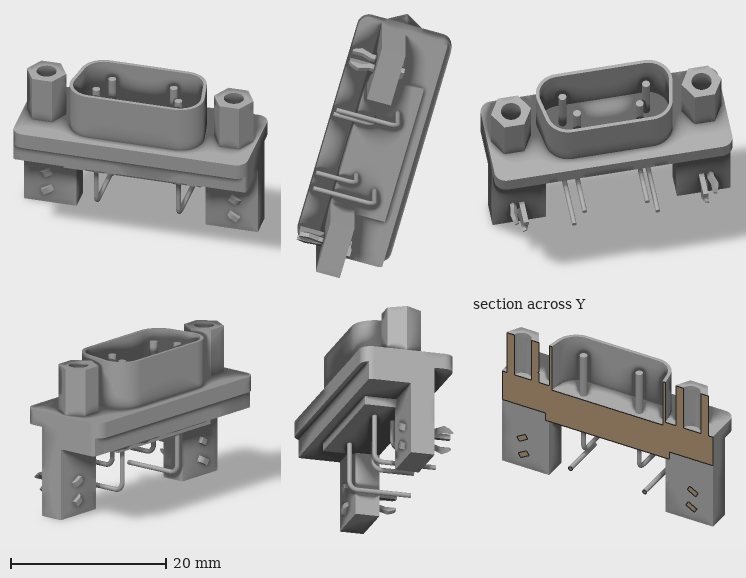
import cadquery as cq
import math


FLANGE_LENGTH = 31.2
FLANGE_WIDTH = 12.5
FLANGE_THICKNESS = 2.07
FLANGE_RADIUS = 1.5
BODY_FRONT_Y = -5.41
BODY_DEPTH = 4.5

LEG_WIDTH = 7.0
LEG_FRONT_Y = 0.23
LEG_REAR_Y = 3.43
LEG_MIDDLE_Y = (LEG_FRONT_Y + LEG_REAR_Y) / 2
LEG_DEPTH = 14.0

BLOCK_LENGTH = 18.38
BLOCK_FRONT_Y = -4.0
BLOCK_DEPTH = 5.63

CONTACT_CENTER_Y = -0.14
SHELL_HEIGHT = 6.2
SHELL_WALL = 0.45
SHELL_INNER_HEIGHT_Y = 8.36
SHELL_INNER_RADIUS = 2.65
SHELL_CORNER_X = 5.81
SHELL_SIDE_ANGLE = 10.0
CAVITY_DEPTH = 0.55

STANDOFF_X = 12.5
STANDOFF_FLATS = 4.56
STANDOFF_BORE = 2.6

CONTACT_DIAMETER = 1.0
CONTACT_TIP_Z = 5.53
CONTACT_PITCH = 2.74
ROW_SPACING = 2.84
TAIL_DIAMETER = 0.62
TAIL_BEND_RADIUS = 1.1
TAIL_END_Y = 6.65
TAIL_ROW_PITCH = 2.54
FRONT_TAIL_Z = -11.9
REAR_TAIL_Z = FRONT_TAIL_Z + TAIL_ROW_PITCH
CONTACTS = [
    (2.0 * CONTACT_PITCH, CONTACT_CENTER_Y - ROW_SPACING / 2, FRONT_TAIL_Z),
    (1.5 * CONTACT_PITCH, CONTACT_CENTER_Y + ROW_SPACING / 2, REAR_TAIL_Z),
]

CLIP_AXIS_Z = -10.7
CLIP_TILT = 30.0
CLIP_OFFSET_X = 0.115
CLIP_OFFSET_Z = -1.23
CLIP_LENGTH = 1.55
CLIP_WIDTH = 0.8
CLIP_BEND_RADIUS = 0.8
CLIP_FRONT_Y = -0.35
CLIP_STRIP_THICKNESS = 0.55
PRONG_ROOT_Y = 4.05
PRONG_STRAIGHT_Y = 5.2
BARB_Y = 5.48
BARB_SHOULDER_Y = 6.24
PRONG_ROOT_TOP = 0.64
PRONG_TIP_TOP = 0.18
PRONG_NECK_BOTTOM = -0.13
BARB_BOTTOM = -0.70
BARB_SHOULDER_BOTTOM = -0.38
BARB_TIP_BOTTOM = -0.05

PEG_SIZE = 0.66
PEG_X = 11.79
PEG_BOTTOM_Z = -10.34


def block(x0, x1, y0, y1, z0, z1):
    """Axis-aligned box between opposite corners."""
    return cq.Workplane("XY").box(x1 - x0, y1 - y0, z1 - z0, centered=False).translate((x0, y0, z0))


def rounded_plate(thickness):
    """Flange outline extruded down from Z = 0."""
    plate = cq.Workplane("XY").rect(FLANGE_LENGTH, FLANGE_WIDTH).extrude(-thickness)
    return plate.edges("|Z").fillet(FLANGE_RADIUS)


def d_prism(corner_radius, z0, z1):
    """Rounded trapezoid prism: a core trapezoid through the corner centres, grown by the corner radius."""
    half_core = SHELL_INNER_HEIGHT_Y / 2 - SHELL_INNER_RADIUS
    lean = 2 * half_core * math.tan(math.radians(SHELL_SIDE_ANGLE))
    top_x = SHELL_CORNER_X - lean
    core = [
        (-SHELL_CORNER_X, CONTACT_CENTER_Y - half_core),
        (SHELL_CORNER_X, CONTACT_CENTER_Y - half_core),
        (top_x, CONTACT_CENTER_Y + half_core),
        (-top_x, CONTACT_CENTER_Y + half_core),
    ]
    outline = cq.Workplane("XY").workplane(offset=z0).polyline(core).close()
    return outline.offset2D(corner_radius, "arc").extrude(z1 - z0)


def make_peg():
    """Square peg running out of the rear of the +X leg, rooted inside it."""
    left = PEG_X - PEG_SIZE / 2
    return block(left, left + PEG_SIZE, LEG_MIDDLE_Y, TAIL_END_Y, PEG_BOTTOM_Z, PEG_BOTTOM_Z + PEG_SIZE)


def make_housing():
    """Flange, body, insulator block and both legs with their pegs."""
    half_length = FLANGE_LENGTH / 2
    body_zone = block(-half_length, half_length, BODY_FRONT_Y, LEG_REAR_Y, -BODY_DEPTH, 0)
    body = rounded_plate(BODY_DEPTH).intersect(body_zone)
    insulator = block(-BLOCK_LENGTH / 2, BLOCK_LENGTH / 2, BLOCK_FRONT_Y, LEG_REAR_Y, -BLOCK_DEPTH, 0)
    housing = rounded_plate(FLANGE_THICKNESS).union(body).union(insulator)
    leg = block(half_length - LEG_WIDTH, half_length, LEG_FRONT_Y, LEG_REAR_Y, -LEG_DEPTH, 0)
    leg = leg.union(make_peg())
    return housing.union(leg).union(leg.mirror("YZ"))


def make_standoff(x):
    """Hexagonal standoff with its bore."""
    across_corners = STANDOFF_FLATS / math.cos(math.pi / 6)
    base = cq.Workplane("XY").center(x, CONTACT_CENTER_Y)
    return base.polygon(6, across_corners).circle(STANDOFF_BORE / 2).extrude(SHELL_HEIGHT)


def make_contact(x, y, tail_z):
    """Straight mating pin joined to a tail that turns from -Z to +Y."""
    pin = cq.Workplane("XY").workplane(offset=-BODY_DEPTH).center(x, y)
    pin = pin.circle(CONTACT_DIAMETER / 2).extrude(CONTACT_TIP_Z + BODY_DEPTH)
    r = TAIL_BEND_RADIUS
    diagonal = r * math.cos(math.pi / 4)
    path = (
        cq.Workplane("YZ", origin=(x, 0, 0))
        .moveTo(y, -BODY_DEPTH)
        .lineTo(y, tail_z + r)
        .threePointArc((y + r - diagonal, tail_z + r - diagonal), (y + r, tail_z))
        .lineTo(TAIL_END_Y, tail_z)
    )
    start = cq.Workplane("XY", origin=(x, y, -BODY_DEPTH))
    return pin.union(start.circle(TAIL_DIAMETER / 2).sweep(path))


def make_clip_strip():
    """Lower strip of the -X leg: a bent strip in front of the leg and a barbed prong behind it."""
    end_x = CLIP_LENGTH / 2
    head = block(-end_x, end_x, CLIP_FRONT_Y, LEG_REAR_Y, -CLIP_WIDTH / 2, CLIP_WIDTH / 2)
    head = head.edges("|Z and >X and <Y").fillet(CLIP_BEND_RADIUS)
    head = head.intersect(block(-end_x, end_x, CLIP_FRONT_Y, LEG_MIDDLE_Y, -CLIP_WIDTH, CLIP_WIDTH))
    profile = [
        (LEG_MIDDLE_Y, PRONG_NECK_BOTTOM),
        (PRONG_ROOT_Y, PRONG_NECK_BOTTOM),
        (BARB_Y, BARB_BOTTOM),
        (BARB_SHOULDER_Y, BARB_SHOULDER_BOTTOM),
        (TAIL_END_Y, BARB_TIP_BOTTOM),
        (TAIL_END_Y, PRONG_TIP_TOP),
        (PRONG_STRAIGHT_Y, PRONG_TIP_TOP),
        (PRONG_ROOT_Y, PRONG_ROOT_TOP),
        (LEG_MIDDLE_Y, PRONG_ROOT_TOP),
    ]
    prong = cq.Workplane("YZ", origin=(end_x - CLIP_STRIP_THICKNESS, 0, 0))
    prong = prong.polyline(profile).close().extrude(CLIP_STRIP_THICKNESS)
    strip = head.union(prong).rotate((0, 0, 0), (0, 1, 0), -CLIP_TILT)
    return strip.translate((CLIP_OFFSET_X - STANDOFF_X, 0, CLIP_AXIS_Z + CLIP_OFFSET_Z))


def make_clips():
    """All four board-lock strips."""
    lower = make_clip_strip()
    axis_start = (-STANDOFF_X, 0, CLIP_AXIS_Z)
    axis_end = (-STANDOFF_X, 1, CLIP_AXIS_Z)
    upper = lower.rotate(axis_start, axis_end, 180)
    return [lower, upper, lower.mirror("YZ"), upper.mirror("YZ")]


result = make_housing()
result = result.union(d_prism(SHELL_INNER_RADIUS + SHELL_WALL, 0, SHELL_HEIGHT))
result = result.cut(d_prism(SHELL_INNER_RADIUS, -CAVITY_DEPTH, SHELL_HEIGHT))
for side in (-1, 1):
    result = result.union(make_standoff(side * STANDOFF_X))
    for contact_x, contact_y, tail_height in CONTACTS:
        result = result.union(make_contact(side * contact_x, contact_y, tail_height))
for clip in make_clips():
    result = result.union(clip)